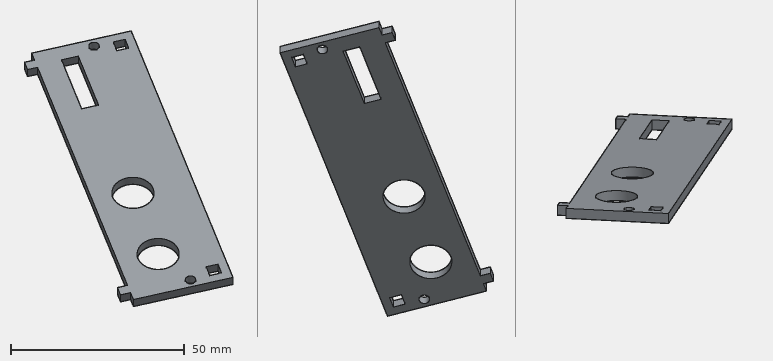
import cadquery as cq

length = 101.0
width = 30.0
thickness = 3.0

tab_length = 3.0
tab_width = 3.0
tab_center_inset = 4.3

square_size = 3.5
square_center_inset = 4.4
square_back_inset = 4.4

pin_hole_diameter = 3.0
pin_hole_inset = 2.6
pin_hole_y = 18.0

large_hole_y = 12.0
large_hole_diameter = 12.1
large_hole_right_inset = 15.0
large_hole_spacing = 25.0

slot_y = 10.0
slot_left = 5.0
slot_length = 20.0
slot_width = 5.0


def mirrored_positions(inset, y):
    """Two points at the same distance from the left and right ends."""
    return [(inset, y), (length - inset, y)]


plate = cq.Workplane("XY").rect(length, width, centered=False).extrude(thickness)

tabs = (
    cq.Workplane("XY")
    .pushPoints(mirrored_positions(tab_center_inset, 0))
    .rect(tab_width, 2 * tab_length)
    .extrude(thickness)
)

square_holes = (
    cq.Workplane("XY")
    .pushPoints(mirrored_positions(square_center_inset, width - square_back_inset))
    .rect(square_size, square_size)
    .extrude(thickness)
)

pin_holes = (
    cq.Workplane("XY")
    .pushPoints(mirrored_positions(pin_hole_inset, pin_hole_y))
    .circle(pin_hole_diameter / 2)
    .extrude(thickness)
)

right_hole_x = length - large_hole_right_inset
large_holes = (
    cq.Workplane("XY")
    .pushPoints([(right_hole_x - large_hole_spacing, large_hole_y), (right_hole_x, large_hole_y)])
    .circle(large_hole_diameter / 2)
    .extrude(thickness)
)

slot = (
    cq.Workplane("XY")
    .center(slot_left + slot_length / 2, slot_y)
    .rect(slot_length, slot_width)
    .extrude(thickness)
)

result = plate.union(tabs).cut(square_holes).cut(pin_holes).cut(large_holes).cut(slot)